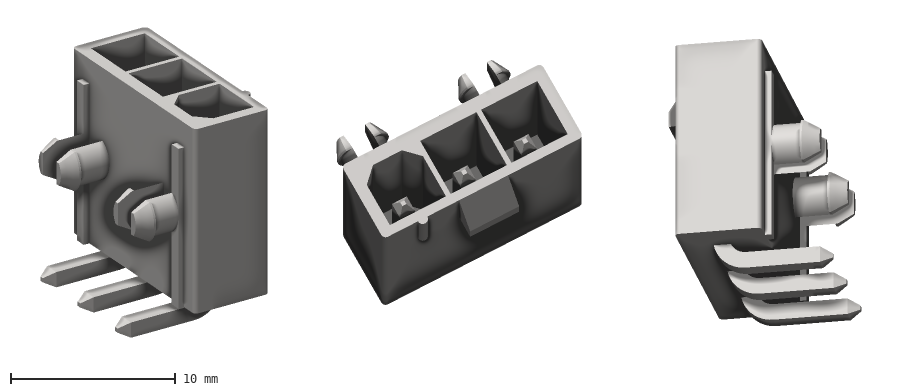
import cadquery as cq

BODY_WIDTH = 13.8
BODY_DEPTH = 5.37
BODY_HEIGHT = 12.42
CORNER_RADIUS = 0.3

PITCH = 4.2
CONTACT_XS = [-PITCH, 0, PITCH]

CAVITY_SIZE = 3.88
CAVITY_BACK_WALL = 0.6
CAVITY_DEPTH = 9.84
CAVITY_CORNER_CUT = 0.94

PIN_SIZE = 1.03
PIN_DROP = 1.63
PIN_REACH = 3.92
PIN_SETBACK = 2.46
PIN_Y = BODY_DEPTH - PIN_SETBACK
PIN_INNER_BEND = 1.01
PIN_TOP = 9.13
TIP_LENGTH = 0.73
TIP_SIZE = 0.28

PEG_Z = 6.2
PEG_RADIUS = 1.5
PEG_SLOT = 1.49
BARB_RADIUS = 1.75
BARB_START = 2.18
BARB_LIP = 0.14
PEG_LENGTH = 3.33
PEG_END_RADIUS = 1.25
PEG_HALF_HEIGHT = (PEG_RADIUS**2 - (PEG_SLOT / 2) ** 2) ** 0.5
PEG_END_HALF_HEIGHT = 0.75

RIB_THICKNESS = 0.41
RIB_HEIGHT = 10.76

LATCH_WIDTH = 3.39
LATCH_REACH = 1.42
LATCH_HEIGHT = 3.13
LATCH_UNDERCUT = 0.1
LATCH_LIP = 0.98
KEY_RADIUS = 0.32
KEY_HEIGHT = 3.09


def make_body():
    """Housing block with rounded upright corners."""
    body = cq.Workplane("XY").box(BODY_WIDTH, BODY_DEPTH, BODY_HEIGHT, centered=(True, False, False))
    return body.edges("|Z").fillet(CORNER_RADIUS)


def make_cavity(x, keyed):
    """Square blind cavity, open at the top; a keyed one has its two front corners cut off."""
    center_y = BODY_DEPTH - CAVITY_BACK_WALL - CAVITY_SIZE / 2
    cavity = (
        cq.Workplane("XY", origin=(x, center_y, BODY_HEIGHT - CAVITY_DEPTH))
        .rect(CAVITY_SIZE, CAVITY_SIZE)
        .extrude(CAVITY_DEPTH)
    )
    if keyed:
        cavity = cavity.faces("<Y").edges("|Z").chamfer(CAVITY_CORNER_CUT)
    return cavity


def make_tip(plane):
    """Square pin point growing along the normal of the given plane."""
    return (
        cq.Workplane(plane)
        .rect(PIN_SIZE, PIN_SIZE)
        .workplane(offset=TIP_LENGTH)
        .rect(TIP_SIZE, TIP_SIZE)
        .loft(ruled=True)
    )


def make_pin(x):
    """Square pin rising into its cavity and bent forward below the housing, pointed at both ends."""
    bend_radius = PIN_INNER_BEND + PIN_SIZE / 2
    axis_z = -PIN_DROP + PIN_SIZE / 2
    shaft_top = PIN_TOP - TIP_LENGTH
    shaft_front = -PIN_REACH + TIP_LENGTH
    path = (
        cq.Workplane("YZ", origin=(x, 0, 0))
        .moveTo(PIN_Y, shaft_top)
        .lineTo(PIN_Y, axis_z + bend_radius)
        .tangentArcPoint((PIN_Y - bend_radius, axis_z), relative=False)
        .lineTo(shaft_front, axis_z)
    )
    shaft = cq.Workplane("XY", origin=(x, PIN_Y, shaft_top)).rect(PIN_SIZE, PIN_SIZE).sweep(path)
    upper_tip = make_tip(cq.Plane((x, PIN_Y, shaft_top), (1, 0, 0), (0, 0, 1)))
    front_tip = make_tip(cq.Plane((x, shaft_front, axis_z), (1, 0, 0), (0, -1, 0)))
    return shaft.union(upper_tip).union(front_tip)


def make_peg(x):
    """Round barbed peg split by an upright slot; its point also tapers above and below."""
    lip_end = BARB_START + BARB_LIP
    turned = (
        cq.Workplane("XY")
        .moveTo(0, 0)
        .lineTo(PEG_RADIUS, 0)
        .lineTo(PEG_RADIUS, -BARB_START)
        .lineTo(BARB_RADIUS, -BARB_START)
        .lineTo(BARB_RADIUS, -lip_end)
        .lineTo(PEG_END_RADIUS, -PEG_LENGTH)
        .lineTo(0, -PEG_LENGTH)
        .close()
        .revolve(360, (0, 0), (0, 1))
    )
    side_profile = (
        cq.Workplane("YZ")
        .moveTo(0, PEG_HALF_HEIGHT)
        .lineTo(-lip_end, PEG_HALF_HEIGHT)
        .lineTo(-PEG_LENGTH, PEG_END_HALF_HEIGHT)
        .lineTo(-PEG_LENGTH, -PEG_END_HALF_HEIGHT)
        .lineTo(-lip_end, -PEG_HALF_HEIGHT)
        .lineTo(0, -PEG_HALF_HEIGHT)
        .close()
        .extrude(BARB_RADIUS, both=True)
    )
    slot = cq.Workplane("XY").box(PEG_SLOT, 2 * PEG_LENGTH, 2 * BARB_RADIUS)
    return turned.intersect(side_profile).cut(slot).translate((x, 0, PEG_Z))


def make_rib(side):
    """Upright stand-off rib in line with the outer half of the peg on the given side (-1 or 1)."""
    rib_width = PEG_RADIUS - PEG_SLOT / 2
    rib_x = side * (PITCH + PEG_SLOT / 2 + rib_width / 2)
    return (
        cq.Workplane("XY", origin=(rib_x, -RIB_THICKNESS / 2, 0))
        .rect(rib_width, RIB_THICKNESS)
        .extrude(RIB_HEIGHT)
    )


def make_latch():
    """Ramp on the back face, sloping out from the rim to a short upright lip with an undercut base."""
    latch_bottom = BODY_HEIGHT - LATCH_HEIGHT
    return (
        cq.Workplane("YZ")
        .moveTo(BODY_DEPTH, BODY_HEIGHT)
        .lineTo(BODY_DEPTH + LATCH_REACH, latch_bottom + LATCH_LIP)
        .lineTo(BODY_DEPTH + LATCH_REACH, latch_bottom)
        .lineTo(BODY_DEPTH, latch_bottom + LATCH_UNDERCUT)
        .close()
        .extrude(LATCH_WIDTH / 2, both=True)
    )


def make_key():
    """Half-round key on the back face behind the keyed cavity, almost as tall as the latch."""
    return (
        cq.Workplane("XY", origin=(PITCH, BODY_DEPTH, BODY_HEIGHT - KEY_HEIGHT))
        .circle(KEY_RADIUS)
        .extrude(KEY_HEIGHT)
    )


result = make_body().union(make_latch()).union(make_key())
for contact_x in CONTACT_XS:
    result = result.cut(make_cavity(contact_x, keyed=contact_x == PITCH))
for contact_x in CONTACT_XS:
    result = result.union(make_pin(contact_x))
for side in (-1, 1):
    result = result.union(make_rib(side)).union(make_peg(side * PITCH))